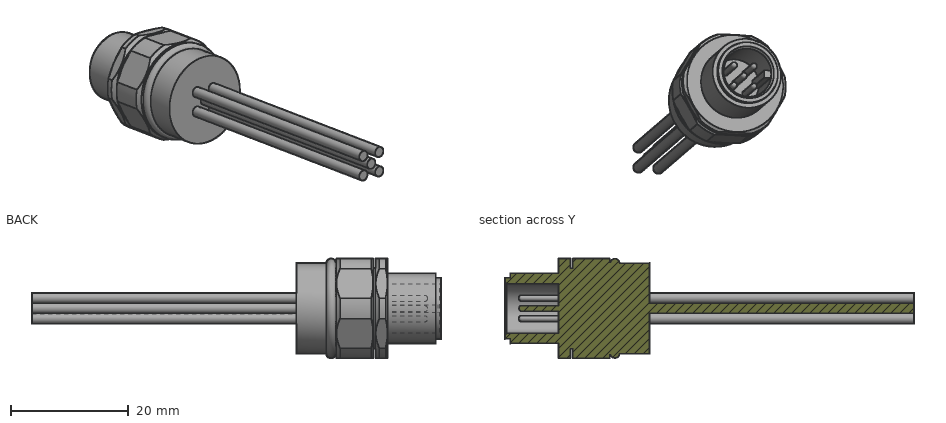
import cadquery as cq

total_length = 69.7

tip_radius = 5.2
tip_length = 0.9
barrel_radius = 6.0
thin_nut_start = 9.1

across_flats = 17.0
across_corners = 18.0
nut_face_radius = 8.4
front_chamfer_length = 0.35
rear_chamfer_length = 0.7
thin_nut_length = 2.1
nut_gap = 0.35
thick_nut_length = 6.35
neck_radius = 6.9

collar_radius = 7.75
collar_end = 24.7
ring_section_radius = 0.85
ring_outer_radius = across_flats / 2

bore_radius = 4.2
bore_depth = thin_nut_start
mouth_chamfer = 0.35

key_inner_distance = 3.0
key_width = 1.25
key_start = 0.6

contact_offset = 1.75
pin_radius = 0.52
pin_tip_start = 2.4
wire_radius = 0.9

thin_nut_end = thin_nut_start + thin_nut_length
thick_nut_start = thin_nut_end + nut_gap
thick_nut_end = thick_nut_start + thick_nut_length

contact_points = [(0, 0)]
for y in (-contact_offset, contact_offset):
    contact_points += [(y, -contact_offset), (y, contact_offset)]


def rod(start, end, radius, points=((0, 0),)):
    """Round rods parallel to X, one at each (Y, Z) point."""
    return cq.Workplane("YZ", origin=(start, 0, 0)).pushPoints(points).circle(radius).extrude(end - start)


def nut(start, length):
    """Hexagon with flats facing +Z and -Z, trimmed by a cylinder with coned ends."""
    flat_turn = 30
    hexagon = (
        cq.Workplane("YZ", origin=(start, 0, 0))
        .polygon(6, across_flats, circumscribed=True)
        .extrude(length)
        .rotate((0, 0, 0), (1, 0, 0), flat_turn)
    )
    end = start + length
    corner_radius = across_corners / 2
    envelope = (
        cq.Workplane("XY")
        .moveTo(start, 0)
        .lineTo(start, nut_face_radius)
        .lineTo(start + front_chamfer_length, corner_radius)
        .lineTo(end - rear_chamfer_length, corner_radius)
        .lineTo(end, nut_face_radius)
        .lineTo(end, 0)
        .close()
        .revolve(360, (0, 0, 0), (1, 0, 0))
    )
    return hexagon.intersect(envelope)


def sealing_ring():
    """Round-section ring seated against the rear face of the thick nut."""
    ring_path_radius = ring_outer_radius - ring_section_radius
    return (
        cq.Workplane("XY")
        .moveTo(thick_nut_end + ring_section_radius, ring_path_radius)
        .circle(ring_section_radius)
        .revolve(360, (0, 0, 0), (1, 0, 0))
    )


def socket():
    """Blind bore with a chamfered mouth, leaving the polarising key standing."""
    bore = rod(0, bore_depth, bore_radius)
    mouth = cq.Workplane("YZ").circle(bore_radius + mouth_chamfer).extrude(mouth_chamfer, taper=45)
    key = (
        cq.Workplane("XY")
        .box(bore_depth - key_start, bore_radius, key_width, centered=(False, False, True))
        .translate((key_start, -key_inner_distance - bore_radius, 0))
    )
    return bore.union(mouth).cut(key)


def contact_pins():
    """Round contact pins with domed tips, standing on the socket floor."""
    dome_centre = pin_tip_start + pin_radius
    shafts = rod(dome_centre, bore_depth, pin_radius, contact_points)
    domes = cq.Workplane("YZ", origin=(dome_centre, 0, 0)).pushPoints(contact_points).sphere(pin_radius)
    return shafts.union(domes)


body = rod(0, tip_length, tip_radius)
body = body.union(rod(tip_length, thin_nut_start, barrel_radius))
body = body.union(rod(thin_nut_start, thick_nut_start, neck_radius))
body = body.union(rod(thick_nut_start, collar_end, collar_radius))

body = body.union(nut(thin_nut_start, thin_nut_length))
body = body.union(nut(thick_nut_start, thick_nut_length))
body = body.union(sealing_ring())

body = body.cut(socket())
body = body.union(contact_pins())
wires = rod(collar_end, total_length, wire_radius, contact_points)

result = body.union(wires)